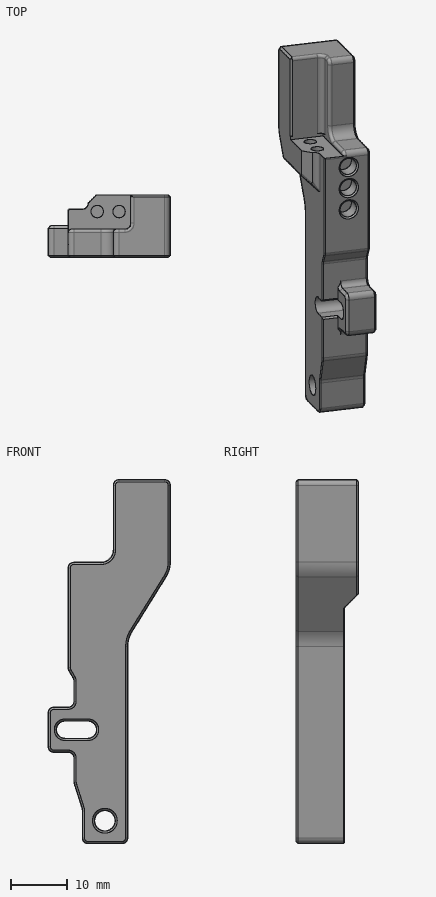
import cadquery as cq
height = 64.0
width = 21.5
tower_depth = 11.0
body_depth = 8.5
tab_depth = 5.6

foot_left = 6.0
waist_left = 4.55
shoulder_left = 3.5
tower_left = 11.45
body_right = 14.0
shelf_z = 49.5
foot_taper_low = 6.1
foot_taper_high = 10.7
shoulder_taper_low = 28.85
shoulder_taper_high = 30.65
slant_low = 36.1
slant_high = 48.1
tab_low = 16.05
tab_high = 24.0

corner_radius = 1.0
taper_radius = 2.0
inner_radius = 2.1
slant_radius = 5.0

chamfer = 0.4
body_back_chamfer = 0.2
tab_back_chamfer = 0.5

slot_width = 3.0
slot_pitch = 4.0
mouth_chamfer = 0.3
slot_x = 5.0
slot_z = (tab_low + tab_high) / 2
pivot_diameter = 3.6
pivot_x = 10.0
pivot_z = 4.0

boss_left = 7.05
boss_fillet = 1.0
boss_bottom_z = 41.5
boss_edge_radius = 0.6

notch_y = 5.0
notch_x = 14.5
notch_floor_z = 48.7
relief_height = 0.6
notch_corner_radius = 1.0
notch_rim_radius = 0.6

side_hole_diameter = 3.0
side_hole_rim_diameter = 3.6
side_hole_depth = 3.0
side_hole_y = 4.0
side_hole_top_z = 46.6
side_hole_pitch = 4.0
side_hole_count = 3
floor_hole_diameter = 2.2
floor_hole_depth = 5.0
floor_hole_y = 8.05
floor_hole_xs = (8.65, 12.5)


def box(x_range, y_range, z_range):
    """Axis-aligned block given by its limits."""
    sizes = [high - low for low, high in (x_range, y_range, z_range)]
    corner = (x_range[0], y_range[0], z_range[0])
    return cq.Workplane("XY").box(*sizes, centered=False).translate(corner)


def plate(depth, back_chamfer, with_tab):
    """Front outline extruded to a depth, with rounded corners and both rims chamfered."""
    lower_left = [
        (foot_left, 0, corner_radius),
        (foot_left, foot_taper_low, taper_radius),
        (waist_left, foot_taper_high, taper_radius),
    ]
    tab = [
        (waist_left, tab_low, corner_radius),
        (0, tab_low, corner_radius),
        (0, tab_high, corner_radius),
        (waist_left, tab_high, corner_radius),
    ]
    rest = [
        (waist_left, shoulder_taper_low, corner_radius),
        (shoulder_left, shoulder_taper_high, corner_radius),
        (shoulder_left, shelf_z, corner_radius),
        (tower_left, shelf_z, inner_radius),
        (tower_left, height, corner_radius),
        (width, height, corner_radius),
        (width, slant_high, slant_radius),
        (body_right, slant_low, slant_radius),
        (body_right, 0, corner_radius),
    ]
    corners = lower_left + (tab if with_tab else []) + rest
    outline = [(x, z) for x, z, _ in corners]
    solid = cq.Workplane("XZ").polyline(outline).close().extrude(-depth)
    for x, z, radius in corners:
        middle = (x, depth / 2, z)
        solid = solid.edges("|Y").edges(cq.NearestToPointSelector(middle)).fillet(radius)
    return solid.faces("<Y").chamfer(chamfer).faces(">Y").chamfer(back_chamfer)


def boss_region():
    """Space for the rear boss: flared left side, and a 45 degree underside."""
    fillet_start = boss_left - boss_fillet
    flare_start_y = body_depth + boss_fillet
    flare = tower_depth - flare_start_y
    inner_left = fillet_start - boss_edge_radius
    plan_shape = (
        cq.Workplane("XY")
        .moveTo(inner_left, 0)
        .lineTo(inner_left, body_depth)
        .lineTo(fillet_start, body_depth)
        .radiusArc((boss_left, flare_start_y), -boss_fillet)
        .lineTo(boss_left + flare, tower_depth)
        .lineTo(width, tower_depth)
        .lineTo(width, 0)
        .close()
        .extrude(height)
    )
    side_shape = (
        cq.Workplane("YZ")
        .polyline([
            (0, boss_bottom_z - body_depth),
            (tower_depth, boss_bottom_z + tower_depth - body_depth),
            (tower_depth, height),
            (0, height),
        ])
        .close()
        .extrude(width)
    )
    region = plan_shape.intersect(side_shape)
    left_edges = cq.selectors.BoxSelector(
        (inner_left, body_depth, 0),
        (boss_left + flare, tower_depth - boss_edge_radius, height),
    )
    return region.faces("<Z").edges(left_edges).fillet(boss_edge_radius)


def notch_space(floor_z):
    """Space of the notch above a floor level, with its round inner corner."""
    block = box((0, notch_x), (notch_y, tower_depth), (floor_z, height))
    inner_corner = cq.NearestToPointSelector((notch_x, notch_y, (floor_z + height) / 2))
    return block.edges("|Z").edges(inner_corner).fillet(notch_corner_radius)


def cut_notch(solid):
    """Notch beside the tower with a rounded upper rim.

    Its inner corner is round, and turns square just above the floor.
    """
    relief_top_z = notch_floor_z + relief_height
    solid = solid.cut(notch_space(relief_top_z))
    back_edge = cq.NearestToPointSelector((notch_x, tower_depth, (relief_top_z + height) / 2))
    solid = solid.edges("|Z").edges(back_edge).chamfer(chamfer)

    solid = solid.cut(notch_space(notch_floor_z))
    shelf_edge = cq.NearestToPointSelector(((shoulder_left + tower_left) / 2, notch_y, shelf_z))
    solid = solid.edges("|X").edges(shelf_edge).fillet(notch_rim_radius)

    relief = box(
        (notch_x - notch_corner_radius, notch_x),
        (notch_y, notch_y + notch_corner_radius),
        (notch_floor_z, relief_top_z),
    )
    return solid.cut(relief)


def cut_slot_and_pivot(solid):
    """Through slot in the tab and through hole in the foot, chamfered at the front.

    Behind the tab the slot opens through the waist, and that mouth is chamfered too.
    """
    slot = (
        cq.Workplane("XZ")
        .center(slot_x, slot_z)
        .slot2D(slot_pitch + slot_width, slot_width)
        .extrude(-body_depth)
    )
    pivot = cq.Workplane("XZ").center(pivot_x, pivot_z).circle(pivot_diameter / 2).extrude(-body_depth)
    slot_rim = (
        cq.Workplane("XZ")
        .center(slot_x, slot_z)
        .slot2D(slot_pitch + slot_width + 2 * chamfer, slot_width + 2 * chamfer)
        .extrude(-chamfer, taper=45)
    )
    pivot_rim = (
        cq.Workplane("XZ")
        .center(pivot_x, pivot_z)
        .circle(pivot_diameter / 2 + chamfer)
        .extrude(-chamfer, taper=45)
    )
    solid = solid.cut(slot).cut(pivot).cut(slot_rim).cut(pivot_rim)
    mouth_y = (tab_depth + body_depth) / 2
    for side in (-1, 1):
        mouth_edge = (waist_left, mouth_y, slot_z + side * slot_width / 2)
        solid = solid.edges("|Y").edges(cq.NearestToPointSelector(mouth_edge)).chamfer(mouth_chamfer)
    return solid


def cut_blind_holes(solid):
    """Row of holes in the left side and a pair in the notch floor."""
    rim_depth = (side_hole_rim_diameter - side_hole_diameter) / 2
    for index in range(side_hole_count):
        z = side_hole_top_z - index * side_hole_pitch
        hole = (
            cq.Workplane("YZ", origin=(shoulder_left, side_hole_y, z))
            .circle(side_hole_diameter / 2)
            .extrude(side_hole_depth)
        )
        rim = (
            cq.Workplane("YZ", origin=(shoulder_left, side_hole_y, z))
            .circle(side_hole_rim_diameter / 2)
            .extrude(rim_depth, taper=45)
        )
        solid = solid.cut(hole).cut(rim)
    for x in floor_hole_xs:
        hole = (
            cq.Workplane("XY", origin=(x, floor_hole_y, notch_floor_z))
            .circle(floor_hole_diameter / 2)
            .extrude(-floor_hole_depth)
        )
        solid = solid.cut(hole)
    return solid


tab_plate = plate(tab_depth, tab_back_chamfer, with_tab=True)
body = plate(body_depth, body_back_chamfer, with_tab=False)
tower = plate(tower_depth, chamfer, with_tab=False).intersect(boss_region())

result = tab_plate.union(body).union(tower)
result = cut_notch(result)
result = cut_slot_and_pivot(result)
result = cut_blind_holes(result)